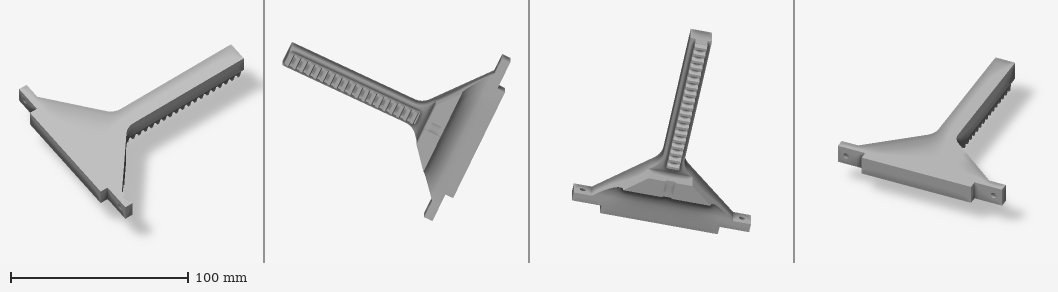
import cadquery as cq

total_width = 102.0
total_length = 119.9
total_height = 22.2

plate_thickness = 11.0
front_half_width = 34.0
tab_front_y = 4.8
tab_rear_y = 10.0
shoulder_half_width = 40.7
arm_width = 12.2
arm_root_y = 38.5
arm_root_radius = 10.0

hole_diameter = 3.5
hole_from_tab_end = 5.2

boss_depth = total_height - plate_thickness
boss_front_y = 22.8
boss_rear_y = 33.1
notch_width = 5.5
notch_depth = 1.3

rack_width = 7.0
rack_depth = 8.4
tooth_count = 19
tooth_pitch = 4.3
tooth_height = 2.9
tooth_tip_width = 1.3
tooth_root_width = 2.9
first_tooth_from_end = 1.5


def plate_outline():
    """T-shaped outline, drawn on the right half and mirrored."""
    half_outline = [
        (front_half_width, 0),
        (front_half_width, tab_front_y),
        (total_width / 2, tab_front_y),
        (total_width / 2, tab_rear_y),
        (shoulder_half_width, tab_rear_y),
        (arm_width / 2, arm_root_y),
        (arm_width / 2, total_length),
    ]
    mirrored = [(-x, y) for x, y in reversed(half_outline)]
    return cq.Workplane("XY").polyline(half_outline + mirrored).close()


def make_plate():
    plate = plate_outline().extrude(plate_thickness)
    for side in (-1, 1):
        arm_root = cq.selectors.NearestToPointSelector(
            (side * arm_width / 2, arm_root_y, plate_thickness / 2)
        )
        plate = plate.edges("|Z").edges(arm_root).fillet(arm_root_radius)
    return plate


def make_boss():
    """Downward continuation of the sloping shoulders, hollowed by an arc at the front."""
    arc_start_y = boss_front_y - boss_depth
    profile = (
        cq.Workplane("YZ")
        .moveTo(arc_start_y, 0)
        .radiusArc((boss_front_y, -boss_depth), boss_depth)
        .lineTo(boss_rear_y, -boss_depth)
        .lineTo(boss_rear_y, 0)
        .close()
    )
    bar = profile.extrude(total_width / 2, both=True)
    boss = bar.intersect(plate_outline().extrude(-boss_depth))
    notch = cq.Workplane("XY").box(
        notch_width, total_length, notch_depth, centered=(True, False, False)
    )
    return boss.cut(notch.translate((0, 0, -boss_depth)))


def make_rack():
    """Rack profile in the YZ plane, with the teeth pointing down."""
    root_z = tooth_height - rack_depth
    points = [(total_length, 0), (total_length, root_z)]
    for index in range(tooth_count):
        center_y = total_length - first_tooth_from_end - index * tooth_pitch
        points += [
            (center_y + tooth_root_width / 2, root_z),
            (center_y + tooth_tip_width / 2, -rack_depth),
            (center_y - tooth_tip_width / 2, -rack_depth),
            (center_y - tooth_root_width / 2, root_z),
        ]
    points += [(arm_root_y, root_z), (arm_root_y, 0)]
    return cq.Workplane("YZ").polyline(points).close().extrude(rack_width / 2, both=True)


def make_screw_holes():
    hole_x = total_width / 2 - hole_from_tab_end
    return (
        cq.Workplane("XZ")
        .pushPoints([(side * hole_x, plate_thickness / 2) for side in (-1, 1)])
        .circle(hole_diameter / 2)
        .extrude(-tab_rear_y)
    )


result = make_plate().union(make_boss()).union(make_rack()).cut(make_screw_holes())